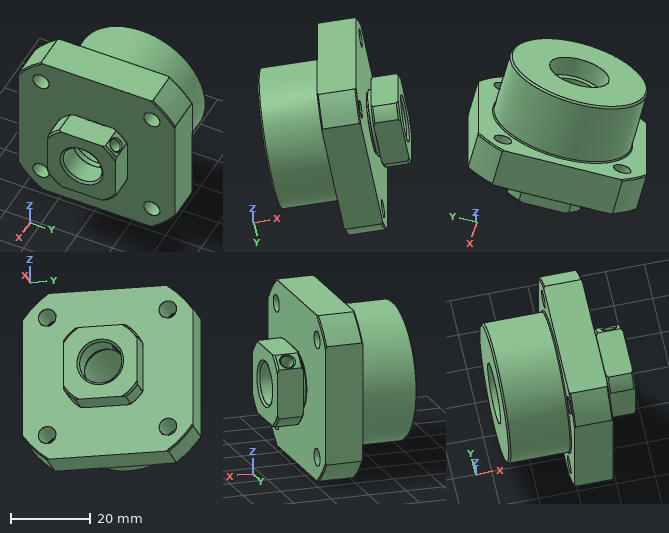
import cadquery as cq


FLANGE_SIDE = 44.0
FLANGE_CORNER_DIAMETER = 54.05
FLANGE_THICKNESS = 10.0
FLANGE_CHAMFER = 0.3
BARREL_DIAMETER = 36.0
BARREL_LENGTH = 16.0
BARREL_CHAMFER = 0.5
BARREL_ROOT_FLARE = 0.3
HOUSING_BORE_DIAMETER = 15.5
MOUNTING_CIRCLE_DIAMETER = 44.0
MOUNTING_HOLE_DIAMETER = 4.5
MOUNTING_HOLE_COUNT = 4

SHAFT_DIAMETER = 12.0
SLEEVE_RECESS = 5.0
COLLAR_NECK_DIAMETER = 15.0
COLLAR_NECK_LENGTH = 0.5
COLLAR_RIM_DIAMETER = 17.0
COLLAR_RIM_THICKNESS = 1.0

NUT_ACROSS_FLATS = 19.0
NUT_CORNER_DIAMETER = 23.0
NUT_THICKNESS = 7.0
NUT_CHAMFER = 0.5
THREAD_BORE_DIAMETER = 10.85
SCREW_HOLE_DIAMETER = 3.3
SCREW_HOLE_MOUTH_DIAMETER = 4.1
SCREW_HOLE_DISTANCE = 3.8

CORNER_ANGLE = 45

flange_end = BARREL_LENGTH + FLANGE_THICKNESS
neck_end = flange_end + COLLAR_NECK_LENGTH
collar_end = neck_end + COLLAR_RIM_THICKNESS


def cylinder(diameter, start, length):
    """Solid cylinder along X that begins at x = start."""
    return cq.Workplane("YZ", origin=(start, 0, 0)).circle(diameter / 2).extrude(length)


def ring(outer_diameter, bore_diameter, start, length):
    """Plain ring along X that begins at x = start."""
    return cylinder(outer_diameter, start, length).cut(cylinder(bore_diameter, start, length))


def round_cornered_square(side, corner_diameter, start, thickness, chamfer):
    """Square plate cut from a chamfered round disc, so that only its corners carry the chamfer."""
    disc = cylinder(corner_diameter, start, thickness).edges().chamfer(chamfer)
    square = cq.Workplane("YZ", origin=(start, 0, 0)).rect(side, side).extrude(thickness)
    return disc.intersect(square)


def make_housing():
    flange = round_cornered_square(
        FLANGE_SIDE, FLANGE_CORNER_DIAMETER, BARREL_LENGTH, FLANGE_THICKNESS, FLANGE_CHAMFER
    )

    radius = BARREL_DIAMETER / 2
    barrel_profile = [
        (0, 0),
        (0, radius - BARREL_CHAMFER),
        (BARREL_CHAMFER, radius),
        (BARREL_LENGTH - BARREL_ROOT_FLARE, radius),
        (BARREL_LENGTH, radius + BARREL_ROOT_FLARE),
        (BARREL_LENGTH, 0),
    ]
    barrel = cq.Workplane("XY").polyline(barrel_profile).close().revolve(360, (0, 0), (1, 0))

    mounting_holes = (
        cq.Workplane("YZ", origin=(BARREL_LENGTH, 0, 0))
        .polarArray(MOUNTING_CIRCLE_DIAMETER / 2, CORNER_ANGLE, 360, MOUNTING_HOLE_COUNT)
        .circle(MOUNTING_HOLE_DIAMETER / 2)
        .extrude(FLANGE_THICKNESS)
    )
    bore = cylinder(HOUSING_BORE_DIAMETER, 0, flange_end)
    return flange.union(barrel).cut(bore).cut(mounting_holes)


def make_sleeve():
    """Bearing sleeve, set back from the barrel face and flush with the back of the flange."""
    return ring(HOUSING_BORE_DIAMETER, SHAFT_DIAMETER, SLEEVE_RECESS, flange_end - SLEEVE_RECESS)


def make_collar():
    """Stepped collar between the sleeve and the nut: a narrow neck, then a wider rim."""
    neck = ring(COLLAR_NECK_DIAMETER, SHAFT_DIAMETER, flange_end, COLLAR_NECK_LENGTH)
    rim = ring(COLLAR_RIM_DIAMETER, SHAFT_DIAMETER, neck_end, COLLAR_RIM_THICKNESS)
    return neck.union(rim)


def make_nut():
    nut = round_cornered_square(
        NUT_ACROSS_FLATS, NUT_CORNER_DIAMETER, collar_end, NUT_THICKNESS, NUT_CHAMFER
    )
    nut = nut.cut(cylinder(THREAD_BORE_DIAMETER, collar_end, NUT_THICKNESS))

    bore_chamfer = (SHAFT_DIAMETER - THREAD_BORE_DIAMETER) / 2
    nut = nut.edges("%CIRCLE").edges(cq.selectors.RadiusNthSelector(0)).chamfer(bore_chamfer)

    corner_radius = NUT_CORNER_DIAMETER / 2
    mouth_depth = (SCREW_HOLE_MOUTH_DIAMETER - SCREW_HOLE_DIAMETER) / 2
    hole_profile = [
        (0, 0),
        (SCREW_HOLE_DIAMETER / 2, 0),
        (SCREW_HOLE_DIAMETER / 2, corner_radius - mouth_depth),
        (SCREW_HOLE_MOUTH_DIAMETER / 2, corner_radius),
        (0, corner_radius),
    ]
    screw_hole = (
        cq.Workplane("XZ")
        .polyline(hole_profile)
        .close()
        .revolve(360, (0, 0), (0, 1))
        .rotate((0, 0, 0), (1, 0, 0), -CORNER_ANGLE)
        .translate((collar_end + SCREW_HOLE_DISTANCE, 0, 0))
    )
    return nut.cut(screw_hole)


housing = make_housing()
sleeve = make_sleeve()
collar = make_collar()
nut = make_nut()

result = cq.Compound.makeCompound([housing.val(), sleeve.val(), collar.val(), nut.val()])